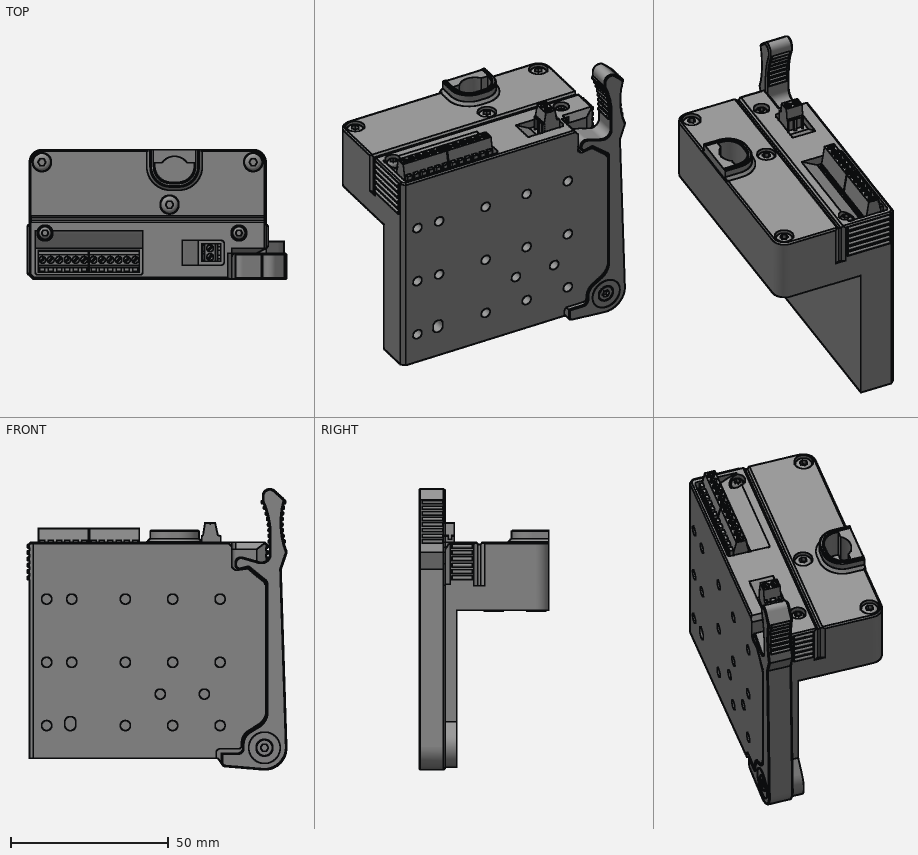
import cadquery as cq
import math


body_width = 75.0
body_depth = 41.0
body_top = 68.5
plate_thickness = 11.9
box_bottom = 46.9
back_corner_radius = 4.2
front_edge_chamfer = 1.25
top_edge_chamfer = 0.5

groove_y = 19.0
groove_floor_width = 0.7
groove_depth = 0.7
side_notch_width = 3.6
side_notch_floor_width = 0.9
side_notch_depth = 0.6
side_notch_bottom = 54.7

rib_pitch = 2.0
rib_count = 6
rib_top = 67.2
rib_radius = 0.6
rib_reach = 0.7
rib_end_chamfer = 0.45
rib_front = 1.4
right_rib_front = 10.0
rib_back = 17.2

mount_diameter = 3.2
mount_depth = 9.8
mount_columns = [5.5, 13.4, 30.4, 45.4, 60.4]
mount_first_row = 10.4
mount_row_pitch = 20.0
extra_holes = [(41.5, 20.4), (55.4, 20.4)]
slot_center = (13.0, 11.0)
slot_width = 3.6
slot_length = 4.45

large_screws = [(4.0, 37.0), (70.9, 37.0), (44.4, 23.6)]
large_bore = 6.0
large_head = 5.7
large_socket = 2.5
small_screws = [(5.0, 14.6), (66.4, 14.6)]
small_bore = 5.0
small_head = 4.0
small_socket = 2.1
screw_recess = 2.1
head_sink = 0.4
head_round = 1.4
under_head_reach = 0.4

outlet_x = 46.0
outlet_width = 15.5
outlet_front = 29.2
outlet_top = 72.25
outlet_radius = 6.5
outlet_wall = 1.5
outlet_flare = 1.1
outlet_flare_edge = 0.045
outlet_rim_chamfer = 0.4
outlet_step = 0.3
outlet_step_width = 0.45
outlet_bore_back = 36.8
outlet_bore_depth = 10.7
outlet_bulge = 2.05
outlet_bulge_width = 8.0

terminal_pocket_x = (1.9, 35.95)
terminal_pocket_y = (1.3, 15.3)
terminal_depth = 3.1
terminal_pocket_radius = 0.9
terminal_floor_y = 9.8
terminal_x = (2.85, 34.9)
terminal_gap = 0.4
terminal_top = 72.9
terminals_per_block = 6
terminal_screw_diameter = 2.1
terminal_ridge_y = (4.45, 7.7)
terminal_foot_y = (3.6, 8.9)
terminal_front_wall = 0.3
terminal_base_y = (2.1, 9.2)
terminal_base_height = 0.9
terminal_tab_width = 1.6
terminal_tab_front = 2.5
terminal_tab_height = 0.6
pocket_lip = 0.45

mark_sink = 0.4
mark_slot_width = 0.45
mark_slot_ratio = 0.9

power_pocket_x = (48.4, 61.75)
power_pocket_y = (4.4, 12.3)
power_pocket_radius = 1.2
power_floor_x = 53.5
power_depth = 2.8
power_y = (5.6, 11.1)
power_top = 74.6
power_screw_diameter = 2.1
power_foot_x = (54.55, 60.7)
power_ridge_x = (55.6, 58.9)
power_shoulder_x = (55.0, 59.7)
power_shoulder_z = 70.7
power_edge_z = 70.4
wire_entry_size = (0.9, 2.0)
latch_gap_width = 1.1
latch_gap_bottom = 69.4
power_screw_pitch = 2.8

lever_thickness = 8.2
lever_back_chamfer = 0.5
lever_front_chamfer = 0.4
pivot_x = 74.5
pivot_z = 3.4
pivot_radius = 7.0
pivot_boss_radius = 6.2
boss_foot_left = 59.7
boss_foot_slope = (1.25, 1.7)
washer_diameter = 10.0
washer_sink = 0.2
pivot_bore = 5.3
pivot_bore_depth = 0.7
pivot_head = 5.0
pivot_socket = 2.5
grip_radius = 25.8
grip_inner_x = 76.2
grip_inner_z = 70.7
grip_outer_x = 79.8
grip_outer_z = 74.6
grip_rib_radius = 0.5
grip_rib_pitch = 1.8
grip_rib_count = 8
grip_rib_top = 81.15
grip_rib_front_margin = 1.0
grip_rib_back_margin = 0.8
hook_pocket_left = 64.15
pocket_corner_radius = 1.25
ledge_bevel_depth = 1.6
ledge_top_bevel = 2.3
ledge_side_bevel = 3.0
ledge_bottom = 55.2
pocket_left_bevel = (1.3, 1.6)


def block(x_range, y_range, z_range):
    size = [high - low for low, high in (x_range, y_range, z_range)]
    corner = (x_range[0], y_range[0], z_range[0])
    return cq.Workplane("XY").box(*size, centered=False).translate(corner)


def pin(x, y, z, diameter, height):
    return cq.Workplane("XY", origin=(x, y, z)).circle(diameter / 2).extrude(height)


def hex_pin(x, y, z, across_corners, height):
    return cq.Workplane("XY", origin=(x, y, z)).polygon(6, across_corners).extrude(height)


def along_y(outline, y_start, y_end):
    """Extrude an (X, Z) wire workplane from y_start to y_end."""
    return outline.extrude(y_end - y_start).translate((0, y_end, 0))


def front_plane():
    return cq.Workplane("XZ")


def housing():
    plate = block((0, body_width), (0, plate_thickness), (0, body_top))
    plate = plate.edges("<X and <Y").chamfer(front_edge_chamfer)
    box = block((0, body_width), (front_edge_chamfer, body_depth), (box_bottom, body_top))
    box = box.edges("|Z and >Y").fillet(back_corner_radius)
    return plate.union(box).faces(">Z").chamfer(top_edge_chamfer)


def parting_groove():
    half = groove_floor_width / 2
    trench = (
        cq.Workplane("YZ")
        .moveTo(groove_y - half - groove_depth, body_top)
        .lineTo(groove_y + half + groove_depth, body_top)
        .lineTo(groove_y + half, body_top - groove_depth)
        .lineTo(groove_y - half, body_top - groove_depth)
        .close()
        .extrude(body_width)
    )
    outer = side_notch_width / 2
    inner = side_notch_floor_width / 2
    for side_x, inward in ((0, 1), (body_width, -1)):
        notch = (
            cq.Workplane("XY", origin=(side_x, groove_y, side_notch_bottom))
            .moveTo(0, -outer)
            .lineTo(0, outer)
            .lineTo(inward * side_notch_depth, inner)
            .lineTo(inward * side_notch_depth, -inner)
            .close()
            .extrude(body_top - side_notch_bottom)
        )
        trench = trench.union(notch)
    return trench


def side_ribs():
    ribs = cq.Workplane("XY")
    out = rib_reach - rib_radius
    for index in range(rib_count):
        z = rib_top - index * rib_pitch
        for x, front in ((-out, rib_front), (body_width + out, right_rib_front)):
            rib = along_y(front_plane().center(x, z).circle(rib_radius), front, rib_back)
            ribs = ribs.union(rib.edges().chamfer(rib_end_chamfer))
    return ribs


def mounting_holes():
    rows = [mount_first_row + index * mount_row_pitch for index in range(3)]
    points = [(x, z) for x in mount_columns for z in rows]
    points.remove((mount_columns[1], mount_first_row))
    holes = front_plane().pushPoints(points + extra_holes).circle(mount_diameter / 2)
    slot = front_plane().center(*slot_center).slot2D(slot_length, slot_width, 90)
    return along_y(holes, 0, mount_depth).union(along_y(slot, 0, mount_depth))


def add_top_screw(body, x, y, bore, head, socket):
    body = body.cut(pin(x, y, body_top - screw_recess, bore, screw_recess))
    head_height = screw_recess - head_sink
    dome = pin(x, y, body_top - screw_recess, head, head_height)
    dome = dome.faces(">Z").edges().fillet(head_round)
    dome = dome.cut(hex_pin(x, y, body_top - screw_recess, socket, screw_recess))
    return body.union(dome)


def outlet_prism(growth, z, height):
    """U shaped prism open to the back; growth offsets the outline of the outlet wall."""
    front = outlet_front - growth
    radius = outlet_radius + growth
    half = outlet_width / 2 + growth
    return (
        cq.Workplane("XY", origin=(outlet_x, 0, z))
        .moveTo(-half, body_depth)
        .lineTo(-half, front + radius)
        .radiusArc((-half + radius, front), -radius)
        .lineTo(half - radius, front)
        .radiusArc((half, front + radius), -radius)
        .lineTo(half, body_depth)
        .close()
        .extrude(height)
    )


def add_outlet(body):
    wall = outlet_prism(0, body_top, outlet_top - body_top)
    wall = wall.faces(">Z").edges("not >Y").chamfer(outlet_rim_chamfer)
    flare = outlet_prism(outlet_flare, body_top, outlet_flare)
    flare = flare.faces(">Z").edges("not >Y").chamfer(outlet_flare - outlet_flare_edge)
    body = body.union(flare).union(wall)

    step = outlet_prism(outlet_step_width - outlet_wall, outlet_top, -outlet_step)
    inside = outlet_prism(-outlet_wall, outlet_top, -outlet_bore_depth)
    bore_floor = outlet_top - outlet_bore_depth
    behind_bore = block(
        (outlet_x - outlet_width, outlet_x + outlet_width),
        (outlet_bore_back, body_depth),
        (bore_floor, outlet_top),
    )
    bulge = (
        cq.Workplane("XY", origin=(outlet_x, outlet_bore_back, bore_floor))
        .moveTo(-outlet_bulge_width / 2, 0)
        .threePointArc((0, outlet_bulge), (outlet_bulge_width / 2, 0))
        .close()
        .extrude(outlet_bore_depth)
    )
    return body.cut(step).cut(inside.cut(behind_bore)).cut(bulge)


def terminal_pocket():
    front, back = terminal_pocket_y
    profile = (
        cq.Workplane("YZ", origin=(terminal_pocket_x[0], 0, 0))
        .moveTo(front, body_top)
        .lineTo(back, body_top)
        .lineTo(back - 2 * pocket_lip, body_top - pocket_lip)
        .lineTo(terminal_floor_y, body_top - terminal_depth)
        .lineTo(front, body_top - terminal_depth)
        .close()
    )
    pocket = profile.extrude(terminal_pocket_x[1] - terminal_pocket_x[0])
    return pocket.edges("|Z and <Y").fillet(terminal_pocket_radius)


def terminal_block(x_start, x_end):
    floor = body_top - terminal_depth
    shape = (
        cq.Workplane("YZ", origin=(x_start, 0, 0))
        .moveTo(terminal_foot_y[0], floor)
        .lineTo(terminal_foot_y[0], body_top + terminal_front_wall)
        .lineTo(terminal_ridge_y[0], terminal_top)
        .lineTo(terminal_ridge_y[1], terminal_top)
        .lineTo(terminal_foot_y[1], floor)
        .close()
        .extrude(x_end - x_start)
    )
    shape = shape.union(block((x_start, x_end), terminal_base_y, (floor, floor + terminal_base_height)))
    pitch = (x_end - x_start) / terminals_per_block
    screw_y = sum(terminal_ridge_y) / 2
    tab_y = (terminal_tab_front, terminal_ridge_y[0])
    for index in range(terminals_per_block):
        x = x_start + (index + 0.5) * pitch
        tab_x = (x - terminal_tab_width / 2, x + terminal_tab_width / 2)
        shape = shape.union(block(tab_x, tab_y, (floor, body_top + terminal_tab_height)))
        shape = shape.cut(screw_mark(x, screw_y, terminal_top, terminal_screw_diameter))
    return shape


def screw_mark(x, y, top, diameter):
    """Sunk screw head with a diagonal driver slot."""
    mark = pin(x, y, top - mark_sink, diameter, mark_sink)
    slot = cq.Workplane("XY").box(diameter * mark_slot_ratio, mark_slot_width, 2 * mark_sink)
    return mark.union(slot.rotate((0, 0, 0), (0, 0, 1), 45).translate((x, y, top - mark_sink)))


def add_terminals(body):
    body = body.cut(terminal_pocket())
    middle = sum(terminal_x) / 2
    body = body.union(terminal_block(terminal_x[0], middle - terminal_gap / 2))
    return body.union(terminal_block(middle + terminal_gap / 2, terminal_x[1]))


def power_pocket():
    left, right = power_pocket_x
    pocket = (
        front_plane()
        .moveTo(left, body_top)
        .lineTo(right, body_top)
        .lineTo(right, body_top - power_depth)
        .lineTo(power_floor_x, body_top - power_depth)
        .lineTo(left + 2 * pocket_lip, body_top - pocket_lip)
        .close()
    )
    return along_y(pocket, *power_pocket_y).edges("|Z and >X").fillet(power_pocket_radius)


def power_plug():
    floor = body_top - power_depth
    left, right = power_foot_x
    plug = (
        front_plane()
        .moveTo(left, floor)
        .lineTo(left, power_edge_z)
        .lineTo(power_shoulder_x[0], power_shoulder_z)
        .lineTo(power_ridge_x[0], power_top)
        .lineTo(power_ridge_x[1], power_top)
        .lineTo(power_shoulder_x[1], power_shoulder_z)
        .lineTo(right, power_edge_z)
        .lineTo(right, floor)
        .close()
    )
    plug = along_y(plug, *power_y)
    screw_x = sum(power_ridge_x) / 2
    entry_depth, entry_width = wire_entry_size
    for side in (-0.5, 0.5):
        y = sum(power_y) / 2 + side * power_screw_pitch
        plug = plug.cut(screw_mark(screw_x, y, power_top, power_screw_diameter))
        entry_y = (y - entry_width / 2, y + entry_width / 2)
        plug = plug.cut(block((left, left + entry_depth), entry_y, (floor, power_edge_z)))
        gap_y = (y - latch_gap_width / 2, y + latch_gap_width / 2)
        plug = plug.cut(block((power_shoulder_x[1], right), gap_y, (latch_gap_bottom, power_top)))
    return plug


def grip_inner(z):
    return grip_inner_x - grip_radius + math.sqrt(grip_radius**2 - (z - grip_inner_z) ** 2)


def grip_outer(z):
    return grip_outer_x + grip_radius - math.sqrt(grip_radius**2 - (z - grip_outer_z) ** 2)


def lever_arm():
    """Lever drawn with sharp corners, then rounded corner by corner and chamfered along both faces."""
    tip_z = 81.4
    tip_side_z = 81.9
    grip_base_z = 67.7
    foot_corner = (60.9, -2.5)
    pivot_corner = (81.8, -4.3)
    tip_corner = (grip_inner(tip_z), 88.4)
    hook_root = (grip_inner_x, 61.2)
    hook_top = (65.2, 64.3)
    hook_bottom = (65.2, 59.5)
    hook_heel = (69.3, 60.5)
    shoulder = (75.2, 55.8)
    knee = (75.2, 11.75)
    hip = (67.6, 7.2)
    ankle = (67.6, 1.7)
    inner_side = [hook_root, hook_top, hook_bottom, hook_heel, shoulder, knee, hip, ankle]
    outline = (
        front_plane()
        .moveTo(foot_corner[0], ankle[1])
        .lineTo(*foot_corner)
        .lineTo(*pivot_corner)
        .lineTo(79.7, 59.9)
        .lineTo(81.6, 65.3)
        .lineTo(grip_outer(grip_base_z), grip_base_z)
        .threePointArc((grip_outer_x, grip_outer_z), (grip_outer(tip_side_z), tip_side_z))
        .lineTo(*tip_corner)
        .lineTo(grip_inner(tip_z), tip_z)
        .threePointArc((grip_inner(76.1), 76.1), (grip_inner_x, grip_inner_z))
        .polyline(inner_side, includeCurrent=True)
        .close()
    )
    arm = along_y(outline, 0, lever_thickness)
    rounded_corners = [
        (foot_corner, 1.3),
        (pivot_corner, pivot_radius),
        (tip_corner, 2.3),
        (hook_root, 2.7),
        (hook_top, 1.8),
        (hook_bottom, 1.3),
        (shoulder, 1.8),
        (knee, 5.3),
        (hip, 4.45),
        (ankle, 1.6),
    ]
    for (x, z), radius in rounded_corners:
        corner = cq.selectors.NearestToPointSelector((x, lever_thickness / 2, z))
        arm = arm.edges("|Y").edges(corner).fillet(radius)
    return arm.faces(">Y").chamfer(lever_back_chamfer).faces("<Y").chamfer(lever_front_chamfer)


def lever():
    arm = lever_arm()
    for index in range(grip_rib_count):
        z = grip_rib_top - index * grip_rib_pitch
        inner_x = grip_inner(max(z, grip_inner_z))
        for x in (inner_x, grip_outer(z)):
            rib = front_plane().center(x, z).circle(grip_rib_radius)
            arm = arm.union(along_y(rib, grip_rib_front_margin, lever_thickness - grip_rib_back_margin))
    return arm


def lever_pocket():
    """Opening in the plate that follows the inner side of the lever with a small clearance."""
    right = body_width + lever_thickness
    outline = (
        front_plane()
        .moveTo(hook_pocket_left, body_top)
        .lineTo(hook_pocket_left, 60.5)
        .lineTo(65.3, 59.5)
        .lineTo(69.2, 60.1)
        .lineTo(74.3, 55.9)
        .lineTo(75.0, 54.8)
        .lineTo(75.0, 15.0)
        .threePointArc((74.4, 12.7), (72.7, 10.9))
        .lineTo(69.4, 8.8)
        .threePointArc((67.9, 7.3), (67.2, 5.2))
        .lineTo(67.1, 3.6)
        .lineTo(66.6, 3.0)
        .lineTo(60.5, 3.0)
        .threePointArc((59.5, 2.7), (59.2, 1.7))
        .lineTo(59.2, 0)
        .lineTo(right, 0)
        .lineTo(right, body_top)
        .close()
    )
    pocket = along_y(outline, 0, lever_thickness)
    hook_corner = cq.selectors.NearestToPointSelector((hook_pocket_left, lever_thickness, body_top - 3.6))
    return pocket.edges(hook_corner).fillet(pocket_corner_radius)


def pocket_bevels():
    """Slopes around the pocket above the lever hook: back top edge, right edge and left top edge."""
    ledge_back = lever_thickness + ledge_bevel_depth
    top = (
        cq.Workplane("YZ", origin=(hook_pocket_left, 0, 0))
        .moveTo(lever_thickness, body_top)
        .lineTo(ledge_back, body_top)
        .lineTo(lever_thickness, body_top - ledge_top_bevel)
        .close()
        .extrude(body_width - hook_pocket_left)
    )
    side = (
        cq.Workplane("XY", origin=(0, 0, ledge_bottom))
        .moveTo(body_width, lever_thickness)
        .lineTo(body_width, ledge_back)
        .lineTo(body_width - ledge_side_bevel, lever_thickness)
        .close()
        .extrude(body_top - ledge_bottom)
    )
    left_width, left_height = pocket_left_bevel
    left = (
        front_plane()
        .moveTo(hook_pocket_left - left_width, body_top)
        .lineTo(hook_pocket_left, body_top)
        .lineTo(hook_pocket_left, body_top - left_height)
        .close()
    )
    return top.union(side).union(along_y(left, 0, lever_thickness))


def pivot_boss():
    """Round boss behind the lever with a 45 degree flank on the right and a foot along the plate bottom."""
    tangent = pivot_boss_radius * math.sin(math.pi / 4)
    flank_top = pivot_z + 2 * tangent - (body_width - pivot_x)
    outline = (
        front_plane()
        .moveTo(body_width, flank_top)
        .lineTo(pivot_x + tangent, pivot_z + tangent)
        .threePointArc((pivot_x + pivot_boss_radius, pivot_z), (pivot_x, pivot_z - pivot_boss_radius))
        .lineTo(boss_foot_left + boss_foot_slope[0], -boss_foot_slope[1])
        .lineTo(boss_foot_left, 0)
        .lineTo(body_width, 0)
        .close()
    )
    return along_y(outline, lever_thickness, plate_thickness)


def pivot_details():
    """Recesses in the lever face around the pivot screw."""
    def disc(diameter, y_start, y_end):
        circle = front_plane().center(pivot_x, pivot_z).circle(diameter / 2)
        return along_y(circle, y_start, y_end)

    ring = disc(pivot_bore, 0, pivot_bore_depth).cut(disc(pivot_head, washer_sink, pivot_bore_depth))
    socket = front_plane().center(pivot_x, pivot_z).polygon(6, pivot_socket)
    return disc(washer_diameter, 0, washer_sink).union(ring).union(along_y(socket, 0, 2 * pivot_bore_depth))


body = housing().cut(parting_groove()).union(side_ribs())
body = body.cut(lever_pocket()).cut(pocket_bevels()).cut(mounting_holes())
body = add_outlet(body)
body = add_terminals(body)
body = body.cut(power_pocket()).union(power_plug())
for screw_x, screw_y in large_screws:
    body = add_top_screw(body, screw_x, screw_y, large_bore, large_head, large_socket)
    body = body.union(pin(screw_x, screw_y, box_bottom - under_head_reach, large_bore, under_head_reach))
for screw_x, screw_y in small_screws:
    body = add_top_screw(body, screw_x, screw_y, small_bore, small_head, small_socket)

result = body.union(pivot_boss()).union(lever()).cut(pivot_details())